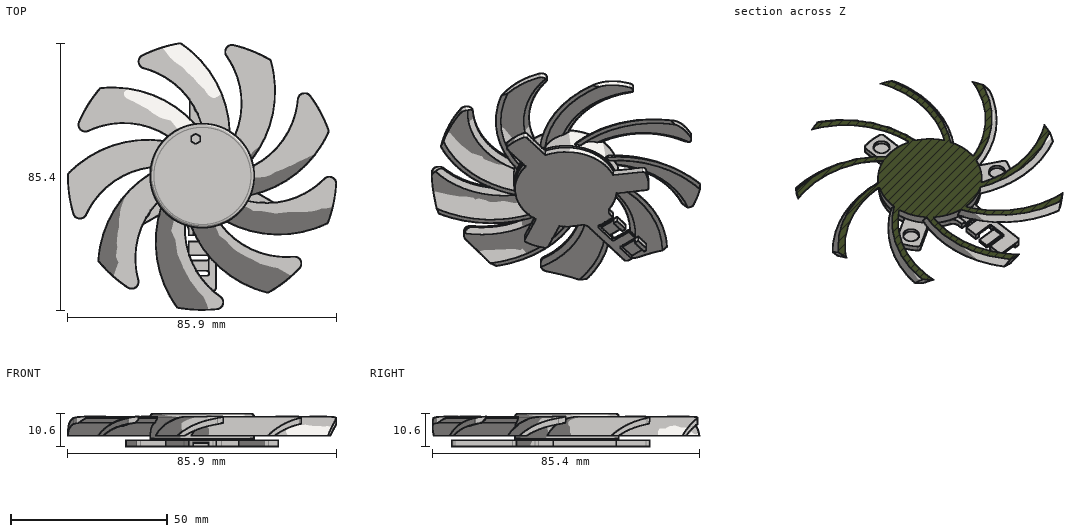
import cadquery as cq
import math

BRACKET_TOP = 2.1
CHANNEL_ROOF = 1.4
BRIDGE_TOP = 1.0
HUB_BOTTOM = 2.6
BLADE_BOTTOM = 3.4
BLADE_TOP = 9.6
HUB_TOP = 10.6

HUB_RADIUS = 16.7
HUB_FILLET = 1.1
BLADE_COUNT = 9
ROTOR_DIAMETER = 86.0
ROTOR_RADIUS = ROTOR_DIAMETER / 2
TIP_CORNER_ANGLE = 41
BLADE_TIP_FILLET = 2.2

LEADING_CENTRE = (8.1, 28.4)
LEADING_RADIUS = 35.5
TRAILING_CENTRE = (4.4, 26.55)
TRAILING_RADIUS = 26.3

SECTION_ANGLES = (-74, -54, -34, -14, 6)
FOOT_WIDTH = 1.6
EDGE_THICKNESS = 0.3
KNUCKLE_WIDTH = 2.15
KNUCKLE_THICKNESS = 2.1
MID_FRACTION = 0.45
UPPER_MID_RISE = 0.75
LOWER_MID_RISE = 0.65
SECTION_OVERRUN = 0.4

MARKER_PLACE = (-2.1, 11.8)
MARKER_RADIUS = 1.6
MARKER_SIDES = 6
MARKER_DEPTH = 0.9

BOARD_RADIUS = 15.5
BOARD_NOTCH_HALF_WIDTH = 3.8
BOARD_TONGUE_END = 14.2
BOARD_TONGUE_FILLET = 2.6

BRACKET_RADIUS = 16.3
EAR_ANGLES = (90, 210, 330)
EAR_REACH = 26.55
EAR_HALF_WIDTH = 4.0
EAR_END_RADIUS = 17.2
EAR_FILLET = 1.0
SEAT_RADIUS = 2.6
SEAT_PLACE = 22.2
SEAT_DEPTH = 1.2

TAIL_LEFT = -4.3
TAIL_RIGHT = 4.5
TAIL_END = -36.9
TAIL_FILLET = 1.0
TAIL_ROOT_FILLET = 2.5
CHANNEL_LEFT = -2.8
CHANNEL_RIGHT = 2.15
TAIL_NOTCHES = ((-21.05, -19.1), (-32.0, -25.5))
BRIDGE_SPAN = (-30.5, -27.1)
INNER_FILLET = 0.5


def box_between(x_span, y_span, z_span):
    """Box between the given limits on each axis."""
    return (
        cq.Workplane("XY")
        .box(x_span[1] - x_span[0], y_span[1] - y_span[0], z_span[1] - z_span[0], centered=False)
        .translate((x_span[0], y_span[0], z_span[0]))
    )


def at_angle(centre, radius, degrees):
    """Point on a circle."""
    angle = math.radians(degrees)
    return (centre[0] + radius * math.cos(angle), centre[1] + radius * math.sin(angle))


def distance_to_leading_edge(degrees):
    """Distance from the trailing-edge centre to the leading edge along a ray."""
    angle = math.radians(degrees)
    dx = LEADING_CENTRE[0] - TRAILING_CENTRE[0]
    dy = LEADING_CENTRE[1] - TRAILING_CENTRE[1]
    along = dx * math.cos(angle) + dy * math.sin(angle)
    across = dy * math.cos(angle) - dx * math.sin(angle)
    return along + math.sqrt(LEADING_RADIUS**2 - across**2)


def blade_section(degrees):
    """Closed cross-section of a blade on a vertical plane through the trailing-edge centre."""
    leading = distance_to_leading_edge(degrees)
    trailing = TRAILING_RADIUS - SECTION_OVERRUN
    foot = leading - FOOT_WIDTH
    rise = BLADE_TOP - BLADE_BOTTOM
    knuckle = trailing + KNUCKLE_WIDTH
    lower_rise = rise - KNUCKLE_THICKNESS

    def point(distance, height):
        return cq.Vector(*at_angle(TRAILING_CENTRE, distance, degrees), height)

    lead_corner = point(leading, BLADE_BOTTOM)
    foot_corner = point(foot, BLADE_BOTTOM)
    upper_mid = point(leading + MID_FRACTION * (trailing - leading), BLADE_BOTTOM + UPPER_MID_RISE * rise)
    lower_mid = point(foot + MID_FRACTION * (knuckle - foot), BLADE_BOTTOM + LOWER_MID_RISE * lower_rise)
    top_corner = point(trailing, BLADE_TOP)
    under_corner = point(trailing, BLADE_TOP - EDGE_THICKNESS)
    knuckle_corner = point(knuckle, BLADE_TOP - KNUCKLE_THICKNESS)
    return cq.Wire.assembleEdges([
        cq.Edge.makeThreePointArc(lead_corner, upper_mid, top_corner),
        cq.Edge.makeLine(top_corner, under_corner),
        cq.Edge.makeLine(under_corner, knuckle_corner),
        cq.Edge.makeThreePointArc(knuckle_corner, lower_mid, foot_corner),
        cq.Edge.makeLine(foot_corner, lead_corner),
    ])


def blade_trim():
    """Prism inside the rotor circle and outside the trailing-edge circle, with a rounded tip corner."""
    height = HUB_TOP
    disc = cq.Workplane("XY").circle(ROTOR_RADIUS).extrude(height)
    inner = cq.Workplane("XY").center(*TRAILING_CENTRE).circle(TRAILING_RADIUS).extrude(height)
    tip_corner = (*at_angle((0, 0), ROTOR_RADIUS, TIP_CORNER_ANGLE), height / 2)
    corner_edge = cq.selectors.NearestToPointSelector(tip_corner)
    return disc.cut(inner).edges("|Z").edges(corner_edge).fillet(BLADE_TIP_FILLET)


def make_blade():
    """Loft of the cross-sections, trimmed to the plan outline."""
    sections = [blade_section(angle) for angle in SECTION_ANGLES]
    stock = cq.Workplane(cq.Solid.makeLoft(sections))
    return stock.intersect(blade_trim())


def make_marker():
    """Hexagonal plug, flush with the hub face, with one corner pointing to +Y."""
    half_sector = 180 / MARKER_SIDES
    return (
        cq.Workplane("XY", origin=(*MARKER_PLACE, HUB_TOP))
        .polygon(MARKER_SIDES, 2 * MARKER_RADIUS)
        .extrude(-MARKER_DEPTH)
        .rotate((*MARKER_PLACE, 0), (*MARKER_PLACE, 1), half_sector)
    )


def make_rotor():
    """Hub with its ring of blades and the recess for the marker."""
    hub = cq.Workplane("XY", origin=(0, 0, HUB_BOTTOM)).circle(HUB_RADIUS).extrude(HUB_TOP - HUB_BOTTOM)
    rotor = hub.faces(">Z").edges().fillet(HUB_FILLET)
    blade = make_blade()
    for index in range(BLADE_COUNT):
        rotor = rotor.union(blade.rotate((0, 0, 0), (0, 0, 1), index * 360 / BLADE_COUNT))
    return rotor.cut(make_marker())


def make_board():
    """Round board whose edge is notched around a tongue with rounded corners."""
    thickness = HUB_BOTTOM - BRACKET_TOP
    half = BOARD_NOTCH_HALF_WIDTH
    board = cq.Workplane("XY").circle(BOARD_RADIUS).extrude(thickness)
    board = board.cut(box_between((-half, half), (-BOARD_RADIUS, 0), (0, thickness)))
    tongue = box_between((-half, half), (-BOARD_TONGUE_END, 0), (0, thickness))
    tongue = tongue.edges("|Z and <Y").fillet(BOARD_TONGUE_FILLET)
    return board.union(tongue).translate((0, 0, BRACKET_TOP))


def make_ear():
    """Ear along +X with a bowed end and rounded corners."""
    corner = EAR_REACH - EAR_END_RADIUS + math.sqrt(EAR_END_RADIUS**2 - EAR_HALF_WIDTH**2)
    return (
        cq.Workplane("XY")
        .moveTo(0, -EAR_HALF_WIDTH)
        .lineTo(corner, -EAR_HALF_WIDTH)
        .threePointArc((EAR_REACH, 0), (corner, EAR_HALF_WIDTH))
        .lineTo(0, EAR_HALF_WIDTH)
        .close()
        .extrude(BRACKET_TOP)
        .edges("|Z and (not <X)")
        .fillet(EAR_FILLET)
    )


def make_seat():
    """Round blind recess in the top of an ear along +X."""
    return (
        cq.Workplane("XY", origin=(SEAT_PLACE, 0, BRACKET_TOP))
        .circle(SEAT_RADIUS)
        .extrude(-SEAT_DEPTH)
    )


def tail_opening(y_span, height):
    """Opening from the tail's left side to the channel wall, with rounded inner corners."""
    opening = box_between((TAIL_LEFT, CHANNEL_RIGHT), y_span, (0, height))
    return opening.edges("|Z and >X").fillet(INNER_FILLET)


def make_bridge():
    """Low strip across the outer notch, flared where it joins the channel wall."""
    near, far = BRIDGE_SPAN[1], BRIDGE_SPAN[0]
    gap = 3 * INNER_FILLET
    flare_y = (far - INNER_FILLET, near + INNER_FILLET)
    strip = box_between((TAIL_LEFT, CHANNEL_RIGHT), flare_y, (0, BRIDGE_TOP))
    strip = strip.cut(tail_opening((far - gap, far), BRIDGE_TOP))
    return strip.cut(tail_opening((near, near + gap), BRIDGE_TOP))


def cut_cable_way(plate):
    """Cut the tail's side notches, its underside channel and the open stretch beside the hub."""
    channel_x = (CHANNEL_LEFT, CHANNEL_RIGHT)
    channel_start = sum(TAIL_NOTCHES[0]) / 2
    for notch_y in TAIL_NOTCHES:
        plate = plate.cut(tail_opening(notch_y, BRACKET_TOP))
    plate = plate.cut(box_between(channel_x, (TAIL_END, channel_start), (0, CHANNEL_ROOF)))
    plate = plate.cut(box_between(channel_x, (channel_start, -BRACKET_RADIUS), (BRIDGE_TOP, BRACKET_TOP)))
    return plate.union(make_bridge())


def make_bracket():
    """Round plate with a cable tail and three ears."""
    plate = cq.Workplane("XY").circle(BRACKET_RADIUS).extrude(BRACKET_TOP)
    tail = box_between((TAIL_LEFT, TAIL_RIGHT), (TAIL_END, 0), (0, BRACKET_TOP))
    plate = plate.union(tail.edges("|Z and <Y").fillet(TAIL_FILLET))
    root_zone = cq.selectors.BoxSelector(
        (2 * TAIL_LEFT, -BRACKET_RADIUS, 0), (2 * TAIL_RIGHT, -BRACKET_RADIUS / 2, BRACKET_TOP)
    )
    plate = plate.edges("|Z").edges(root_zone).fillet(TAIL_ROOT_FILLET)
    ear = make_ear()
    seat = make_seat()
    for angle in EAR_ANGLES:
        plate = plate.union(ear.rotate((0, 0, 0), (0, 0, 1), angle))
        plate = plate.cut(seat.rotate((0, 0, 0), (0, 0, 1), angle))
    return cut_cable_way(plate)


bracket = make_bracket()
board = make_board()
rotor = make_rotor()
marker = make_marker()

result = cq.Compound.makeCompound([bracket.val(), board.val(), rotor.val(), marker.val()])